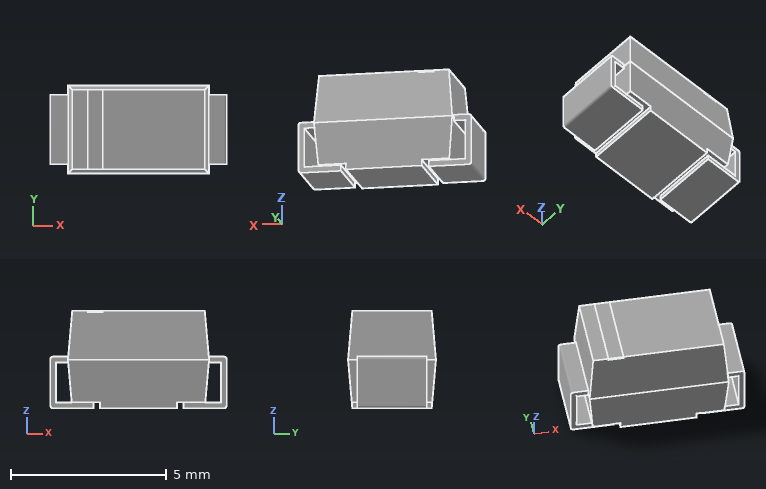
import cadquery as cq
import math

housing_length = 4.55
housing_width = 2.84
total_height = 3.15
parting_height = 1.57
draft_angle = 5.0

total_length = 5.69
lead_width = 2.255
lead_thickness = 0.195
lead_top = 1.675
lead_bend_radius = 0.095
foot_length = 1.4

foot_gap = 0.2
pedestal_length = total_length - 2 * (foot_length + foot_gap)

band_offset = 0.64
band_length = 0.495
band_depth = 0.05


def tapered_half(height):
    """Frustum from the parting plane, upwards or (negative height) downwards."""
    inset = abs(height) * math.tan(math.radians(draft_angle))
    return (
        cq.Workplane("XY", origin=(0, 0, parting_height))
        .rect(housing_length, housing_width)
        .workplane(offset=height)
        .rect(housing_length - 2 * inset, housing_width - 2 * inset)
        .loft(ruled=True)
    )


def make_band(upper_block):
    """Strip inlaid in the top face, with ends flush with the tapered sides."""
    strip = cq.Workplane("XY").box(
        band_length, housing_width, band_depth, centered=(False, True, False)
    )
    band_start = -housing_length / 2 + band_offset
    return strip.translate((band_start, 0, total_height - band_depth)).intersect(upper_block)


def make_lower_housing():
    """Lower half, relieved at both ends so that the lead feet fit underneath."""
    lower = tapered_half(-parting_height)
    relief_length = (total_length - pedestal_length) / 2
    relief = cq.Workplane("XY").box(
        relief_length, housing_width, lead_thickness, centered=(True, True, False)
    )
    for side in (-1, 1):
        relief_center = side * (pedestal_length + relief_length) / 2
        lower = lower.cut(relief.translate((relief_center, 0, 0)))
    return lower


def make_left_lead(upper_block, lower_housing):
    """C-shaped strip whose top arm ends against the tapered housing end."""
    outer_x = -total_length / 2
    inner_x = outer_x + lead_thickness
    arm_end_x = -housing_length / 2 + lead_thickness
    foot_end_x = outer_x + foot_length
    profile = [
        (arm_end_x, lead_top),
        (outer_x, lead_top),
        (outer_x, 0),
        (foot_end_x, 0),
        (foot_end_x, lead_thickness),
        (inner_x, lead_thickness),
        (inner_x, lead_top - lead_thickness),
        (arm_end_x, lead_top - lead_thickness),
    ]
    strip = cq.Workplane("XZ").polyline(profile).close().extrude(lead_width / 2, both=True)
    strip = strip.edges("|Y and <X").fillet(lead_bend_radius)
    return strip.cut(upper_block).cut(lower_housing)


upper_block = tapered_half(total_height - parting_height)
band = make_band(upper_block)
upper_housing = upper_block.cut(band)
lower_housing = make_lower_housing()

left_lead = make_left_lead(upper_block, lower_housing)
leads = []
for turn in (0, 180):
    leads.append(left_lead.rotate((0, 0, 0), (0, 0, 1), turn).val())

result = cq.Compound.makeCompound(
    [upper_housing.val(), lower_housing.val(), band.val(), *leads]
)